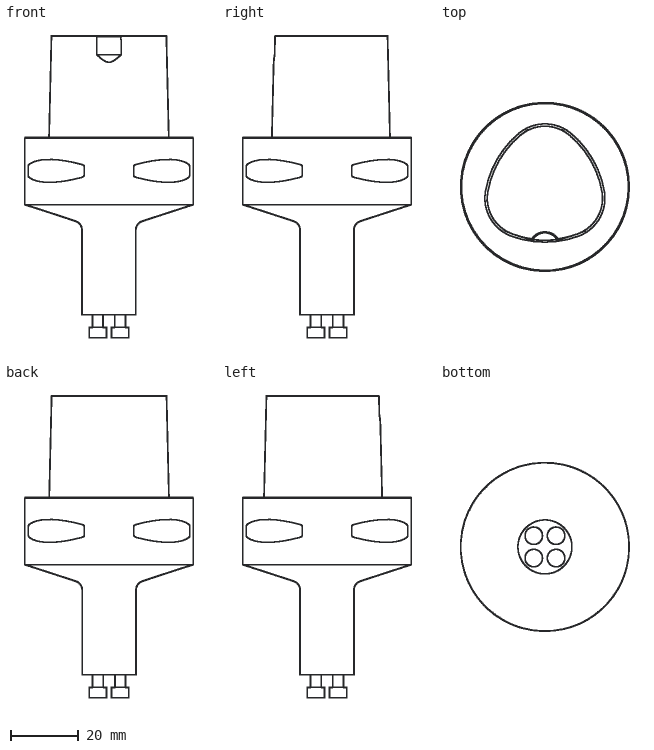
import cadquery as cq
import math

total_height = 89.4
screw_head_height = 3.1
barrel_bottom = 6.8
collar_bottom = 39.4
collar_height = 20.0
collar_top = collar_bottom + collar_height

collar_radius = 50.0 / 2
collar_chamfer = 0.3
barrel_radius = 16.0 / 2
cone_angle = 18.0
neck_fillet = 2.7

shank_lobe_reach = 18.7
shank_flat_reach = 16.4
shank_lobe_centre = 6.7
shank_taper = 0.7
lobe_directions = (90, 210, 330)

groove_count = 4
groove_floor_distance = 22.1
groove_mouth_width = 6.8
groove_flank_angle = 30.0
groove_floor_fillet = 0.7
groove_cutter_overrun = 0.9

notch_radius = 4.4
notch_axis_distance = 18.0
notch_depth = 5.5
notch_tip_length = notch_radius
notch_chamfer = 0.3

screw_offset = 3.3
screw_shaft_radius = 3.2 / 2
screw_head_radius = 5.2 / 2


def make_body():
    """Collar, cone and barrel as one revolved profile."""
    cone_drop = (collar_radius - barrel_radius) * math.tan(math.radians(cone_angle))
    cone_bottom = collar_bottom - cone_drop
    body = (
        cq.Workplane("XZ")
        .moveTo(0, barrel_bottom)
        .lineTo(barrel_radius, barrel_bottom)
        .lineTo(barrel_radius, cone_bottom)
        .lineTo(collar_radius, collar_bottom)
        .lineTo(collar_radius, collar_top)
        .lineTo(0, collar_top)
        .close()
        .revolve(360, (0, 0, 0), (0, 1, 0))
    )
    neck_height_tolerance = 0.1
    neck = cq.selectors.BoxSelector(
        (-collar_radius, -collar_radius, cone_bottom - neck_height_tolerance),
        (collar_radius, collar_radius, cone_bottom + neck_height_tolerance),
    )
    body = body.faces(">Z").edges().chamfer(collar_chamfer)
    return body.edges("%CIRCLE").edges(neck).fillet(neck_fillet)


def polar(radius, degrees):
    """Point at a distance from the axis in a given direction."""
    angle = math.radians(degrees)
    return radius * math.cos(angle), radius * math.sin(angle)


def shank_outline(plane, inset):
    """Closed outline of alternating lobe and flat arcs, offset inwards by inset."""
    reach_gap = shank_lobe_reach - shank_flat_reach
    flat_centre = (
        reach_gap * (2 * shank_lobe_centre - reach_gap) / (shank_lobe_centre - 2 * reach_gap)
    )
    half_span = shank_lobe_centre * math.sin(math.radians(60))
    centre_rise = flat_centre + shank_lobe_centre * math.cos(math.radians(60))
    flat_half_angle = math.atan2(half_span, centre_rise)
    flat_radius = flat_centre + shank_flat_reach - inset
    join_across = flat_radius * math.sin(flat_half_angle)
    join_out = flat_radius * math.cos(flat_half_angle) - flat_centre
    join_radius = math.hypot(join_across, join_out)
    join_angle = math.degrees(math.atan2(join_across, join_out))

    outline = plane.moveTo(*polar(join_radius, lobe_directions[0] - 60 + join_angle))
    for lobe in lobe_directions:
        flat = lobe + 60
        outline = outline.threePointArc(
            polar(shank_lobe_reach - inset, lobe),
            polar(join_radius, flat - join_angle),
        )
        outline = outline.threePointArc(
            polar(shank_flat_reach - inset, flat),
            polar(join_radius, flat + join_angle),
        )
    return outline.close()


def make_shank():
    """Tapered shank with one lobe on +Y."""
    base = shank_outline(cq.Workplane("XY").workplane(offset=collar_top), 0)
    tip_plane = base.workplane(offset=total_height - collar_top)
    return shank_outline(tip_plane, shank_taper).loft(ruled=True)


def make_notch():
    """Drill-shaped cutter with a pointed tip and a chamfered rim."""
    floor = total_height - notch_depth
    return (
        cq.Workplane("XZ")
        .moveTo(0, floor - notch_tip_length)
        .lineTo(notch_radius, floor)
        .lineTo(notch_radius, total_height - notch_chamfer)
        .lineTo(notch_radius + notch_chamfer, total_height)
        .lineTo(0, total_height)
        .close()
        .revolve(360, (0, 0, 0), (0, 1, 0))
        .translate((0, -notch_axis_distance, 0))
    )


def make_groove():
    """Straight groove cutter on the +X side, with sloped flanks and a rounded floor."""
    flank_slope = math.tan(math.radians(groove_flank_angle))
    floor_half = groove_mouth_width / 2 - (collar_radius - groove_floor_distance) * flank_slope
    outer = collar_radius + groove_cutter_overrun
    outer_half = floor_half + (outer - groove_floor_distance) * flank_slope
    return (
        cq.Workplane("XZ")
        .polyline([
            (groove_floor_distance, -floor_half),
            (outer, -outer_half),
            (outer, outer_half),
            (groove_floor_distance, floor_half),
        ])
        .close()
        .extrude(collar_radius, both=True)
        .edges("|Y and <X")
        .fillet(groove_floor_fillet)
        .translate((0, 0, (collar_bottom + collar_top) / 2))
    )


def make_screw():
    """Cap screw standing on its head, centred on Z."""
    return (
        cq.Workplane("XY")
        .circle(screw_head_radius)
        .extrude(screw_head_height)
        .faces(">Z")
        .workplane()
        .circle(screw_shaft_radius)
        .extrude(barrel_bottom - screw_head_height)
    )


result = make_body().union(make_shank()).cut(make_notch())

groove = make_groove()
for i in range(groove_count):
    groove_direction = 45 + i * 360 / groove_count
    result = result.cut(groove.rotate((0, 0, 0), (0, 0, 1), groove_direction))

screw = make_screw()
for x in (-screw_offset, screw_offset):
    for y in (-screw_offset, screw_offset):
        result = result.union(screw.translate((x, y, 0)))